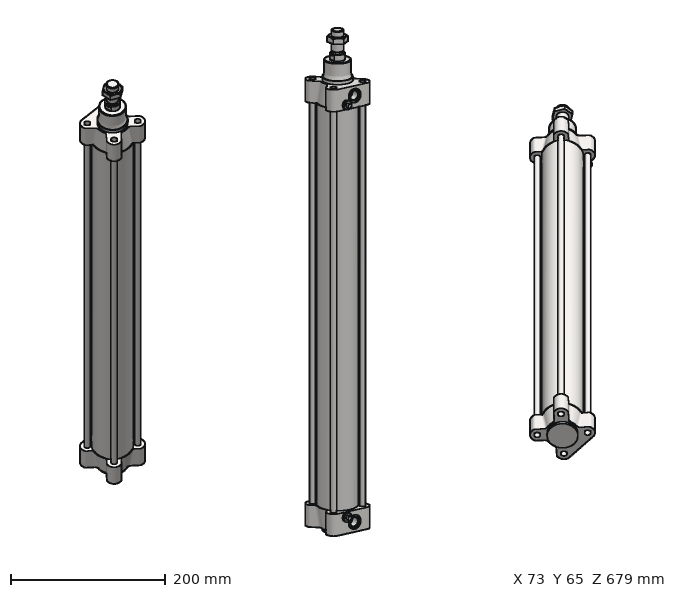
import cadquery as cq
import math

TOTAL_LENGTH = 679.0
REAR_SPIGOT_HEIGHT = 4.0
COVER_HEIGHT = 30.0
FRONT_FACE_Z = 610.5
REAR_FACE_Z = REAR_SPIGOT_HEIGHT
REAR_COVER_TOP_Z = REAR_FACE_Z + COVER_HEIGHT
FRONT_COVER_BOTTOM_Z = FRONT_FACE_Z - COVER_HEIGHT

COVER_HALF_WIDTH = 65.0 / 2
SCREW_OFFSET = 23.0
CORNER_RADIUS = COVER_HALF_WIDTH - SCREW_OFFSET
LUG_EDGE = 21.0
NOTCH_BLEND_RADIUS = 5.0
NOTCH_FLOOR_OUTER_RADIUS = 22.5
NOTCH_FLOOR_INNER_RADIUS = 26.5
SCREW_HOLE_DIAMETER = 8.0
SCREW_HOLE_DEPTH = 13.5

BARREL_DIAMETER = 54.0
TIE_ROD_DIAMETER = 8.0

SPIGOT_DIAMETER = 40.0
COLLAR_HEIGHT = 5.0
NECK_DIAMETER = 35.0
NECK_TOP_Z = 639.0
NECK_CHAMFER = 1.0
NECK_FLARE_TOP_Z = 620.5
NECK_FLARE_DIAMETER = 38.0

PORT_DIAMETER = 12.0
PORT_DEPTH = 13.5
PORT_FACE_DIAMETER = 19.0
PORT_FACE_DEPTH = 1.0
PORT_Y = -4.0
PORT_FROM_END = 13.5
PORT_COUNTERSINK_DIAMETER = 14.0

CUSHION_Y = 9.5
CUSHION_FROM_END = 23.0
CUSHION_BASE_DIAMETER = 12.0
CUSHION_BASE_HEIGHT = 3.5
CUSHION_TIP_DIAMETER = 6.0
CUSHION_REACH = 8.0

ROD_DIAMETER = 20.0
ROD_SHOULDER_Z = 647.0
THREAD_DIAMETER = 16.0
THREAD_CORE_DIAMETER = 14.0
UNDERCUT_HEIGHT = 3.0
WRENCH_FLAT_WIDTH = 17.0
WRENCH_FLAT_TOP_Z = 646.0

NUT_ACROSS_FLATS = 24.0
NUT_HEIGHT = 8.0
NUT_BOTTOM_Z = 663.0
NUT_CHAMFER_HEIGHT = 1.5
NUT_CHAMFER_WIDTH = 2.4


def disc(diameter, bottom, top):
    """A cylinder about the Z axis between two heights."""
    return cq.Workplane("XY").workplane(offset=bottom).circle(diameter / 2).extrude(top - bottom)


def notched_side(floor_radius):
    """The moves along a cover's -Y side, from its left lug to its right lug.

    A move of one point is a straight line; a move of two points is an arc's middle and end.
    The notch has 45 degree walls, blended into a round floor centred on the cylinder axis.
    """
    r = NOTCH_BLEND_RADIUS
    half_root = math.sqrt(0.5)
    mid_x = r * math.sin(math.pi / 8)
    mid_y = r * math.cos(math.pi / 8)
    lip_y = r - COVER_HALF_WIDTH
    lip_mid = (LUG_EDGE - mid_x, lip_y - mid_y)
    lip_end = (LUG_EDGE - r * half_root, lip_y - r * half_root)

    offset = -lip_end[0] - lip_end[1] + r / half_root
    reach = floor_radius + r
    blend_x = (math.sqrt(2 * reach**2 - offset**2) - offset) / 2
    blend_y = -blend_x - offset
    wall_end = (blend_x + r * half_root, blend_y + r * half_root)
    floor_end = (blend_x * floor_radius / reach, blend_y * floor_radius / reach)
    floor_angle = math.atan2(-blend_y, -blend_x)
    blend_angle = (floor_angle + math.pi / 4) / 2
    blend_mid = (blend_x + r * math.cos(blend_angle), blend_y + r * math.sin(blend_angle))

    def left(point):
        return (-point[0], point[1])

    lug_edge = (LUG_EDGE, -COVER_HALF_WIDTH)
    return [
        [left(lug_edge)],
        [left(lip_mid), left(lip_end)],
        [left(wall_end)],
        [left(blend_mid), left(floor_end)],
        [(0, -floor_radius), floor_end],
        [blend_mid, wall_end],
        [lip_end],
        [lip_mid, lug_edge],
        [(SCREW_OFFSET, -COVER_HALF_WIDTH)],
    ]


def turned(point, quarter_turns):
    """A point turned counterclockwise about the Z axis."""
    x, y = point
    for _ in range(quarter_turns):
        x, y = -y, x
    return (x, y)


def cover_outline(floor_radius, height):
    """Closed cover outline: notches on -Y, +X and +Y, and a flat -X face."""
    flat_side = [[(SCREW_OFFSET, -COVER_HALF_WIDTH)]]
    middle = SCREW_OFFSET + CORNER_RADIUS * math.sqrt(0.5)
    corner = [(middle, -middle), (COVER_HALF_WIDTH, -SCREW_OFFSET)]
    outline = cq.Workplane("XY").workplane(offset=height).moveTo(-SCREW_OFFSET, -COVER_HALF_WIDTH)
    for turn in range(4):
        side = flat_side if turn == 3 else notched_side(floor_radius)
        for move in side + [corner]:
            points = [turned(p, turn) for p in move]
            if len(points) == 1:
                outline = outline.lineTo(*points[0])
            else:
                outline = outline.threePointArc(*points)
    return outline.close().val()


def cover(outer_z, inner_z):
    """An end cover whose notch floors slope from its outer face to its barrel face."""
    wires = [
        cover_outline(NOTCH_FLOOR_OUTER_RADIUS, outer_z),
        cover_outline(NOTCH_FLOOR_INNER_RADIUS, inner_z),
    ]
    body = cq.Workplane(cq.Solid.makeLoft(wires, True))
    inward = 1 if inner_z > outer_z else -1
    holes = (
        cq.Workplane("XY").workplane(offset=outer_z)
        .rect(2 * SCREW_OFFSET, 2 * SCREW_OFFSET, forConstruction=True).vertices()
        .circle(SCREW_HOLE_DIAMETER / 2).extrude(inward * SCREW_HOLE_DEPTH)
    )
    body = body.cut(holes).cut(port(outer_z + inward * PORT_FROM_END))
    return body.union(cushion_screw(outer_z + inward * CUSHION_FROM_END))


def side_disc(diameter, y, z, height):
    """A cylinder on a cover's -X face: outward if the height is positive, inward if negative."""
    plane = cq.Plane(origin=(-COVER_HALF_WIDTH, y, z), xDir=(0, 1, 0), normal=(-1, 0, 0))
    return cq.Workplane(plane).circle(diameter / 2).extrude(height)


def port(z):
    """The cavity of an air port: a shallow round face, a countersink and a blind hole."""
    face = side_disc(PORT_FACE_DIAMETER, PORT_Y, z, -PORT_FACE_DEPTH)
    hole = side_disc(PORT_DIAMETER, PORT_Y, z, -PORT_DEPTH)
    countersink = cq.Solid.makeCone(
        PORT_COUNTERSINK_DIAMETER / 2,
        PORT_DIAMETER / 2,
        (PORT_COUNTERSINK_DIAMETER - PORT_DIAMETER) / 2,
        pnt=cq.Vector(PORT_FACE_DEPTH - COVER_HALF_WIDTH, PORT_Y, z),
        dir=cq.Vector(1, 0, 0),
    )
    return face.union(hole).union(countersink)


def cushion_screw(z):
    """A round boss with a smaller tip on the -X face."""
    base = side_disc(CUSHION_BASE_DIAMETER, CUSHION_Y, z, CUSHION_BASE_HEIGHT)
    return base.union(side_disc(CUSHION_TIP_DIAMETER, CUSHION_Y, z, CUSHION_REACH))


def make_housing():
    """Both covers, the barrel, the tie rods and the neck, bored for the piston rod."""
    barrel = disc(BARREL_DIAMETER, REAR_COVER_TOP_Z, FRONT_COVER_BOTTOM_Z)
    tie_rods = (
        cq.Workplane("XY").workplane(offset=REAR_COVER_TOP_Z)
        .rect(2 * SCREW_OFFSET, 2 * SCREW_OFFSET, forConstruction=True).vertices()
        .circle(TIE_ROD_DIAMETER / 2).extrude(FRONT_COVER_BOTTOM_Z - REAR_COVER_TOP_Z)
    )
    neck = disc(NECK_DIAMETER, FRONT_FACE_Z, NECK_TOP_Z).faces(">Z").edges().chamfer(NECK_CHAMFER)
    collar_top = FRONT_FACE_Z + COLLAR_HEIGHT
    flare = cq.Solid.makeCone(
        NECK_FLARE_DIAMETER / 2,
        NECK_DIAMETER / 2,
        NECK_FLARE_TOP_Z - collar_top,
        pnt=cq.Vector(0, 0, collar_top),
    )
    return (
        cover(REAR_FACE_Z, REAR_COVER_TOP_Z)
        .union(cover(FRONT_FACE_Z, FRONT_COVER_BOTTOM_Z))
        .union(barrel)
        .union(tie_rods)
        .union(disc(SPIGOT_DIAMETER, 0, REAR_FACE_Z))
        .union(disc(SPIGOT_DIAMETER, FRONT_FACE_Z, collar_top))
        .union(cq.Workplane(flare))
        .union(neck)
        .cut(disc(ROD_DIAMETER, FRONT_COVER_BOTTOM_Z, NECK_TOP_Z))
    )


def make_piston_rod():
    """A round rod with two wrench flats facing -Y and +Y, an undercut and a threaded end."""
    rod = disc(ROD_DIAMETER, FRONT_COVER_BOTTOM_Z, ROD_SHOULDER_Z)
    flat_height = WRENCH_FLAT_TOP_Z - NECK_TOP_Z
    core = cq.Workplane("XY").box(ROD_DIAMETER, WRENCH_FLAT_WIDTH, flat_height)
    flats = cq.Workplane("XY").box(2 * ROD_DIAMETER, 2 * ROD_DIAMETER, flat_height).cut(core)
    rod = rod.cut(flats.translate((0, 0, NECK_TOP_Z + flat_height / 2)))
    thread_start = ROD_SHOULDER_Z + UNDERCUT_HEIGHT
    undercut = disc(THREAD_CORE_DIAMETER, ROD_SHOULDER_Z, thread_start)
    thread = disc(THREAD_DIAMETER, thread_start, TOTAL_LENGTH)
    thread = thread.edges().chamfer((THREAD_DIAMETER - THREAD_CORE_DIAMETER) / 2)
    return rod.union(undercut).union(thread)


def make_nut():
    """A hexagon nut on the thread, chamfered on its top corners."""
    across_corners = NUT_ACROSS_FLATS / math.cos(math.pi / 6)
    top = NUT_BOTTOM_Z + NUT_HEIGHT
    blank = disc(across_corners, NUT_BOTTOM_Z, top)
    blank = blank.faces(">Z").edges().chamfer(NUT_CHAMFER_HEIGHT, NUT_CHAMFER_WIDTH)
    prism = cq.Workplane("XY").workplane(offset=NUT_BOTTOM_Z).polygon(6, across_corners).extrude(NUT_HEIGHT)
    return prism.intersect(blank).cut(disc(THREAD_DIAMETER, NUT_BOTTOM_Z, top))


housing = make_housing()
piston_rod = make_piston_rod()
nut = make_nut()
result = cq.Compound.makeCompound([housing.val(), piston_rod.val(), nut.val()])